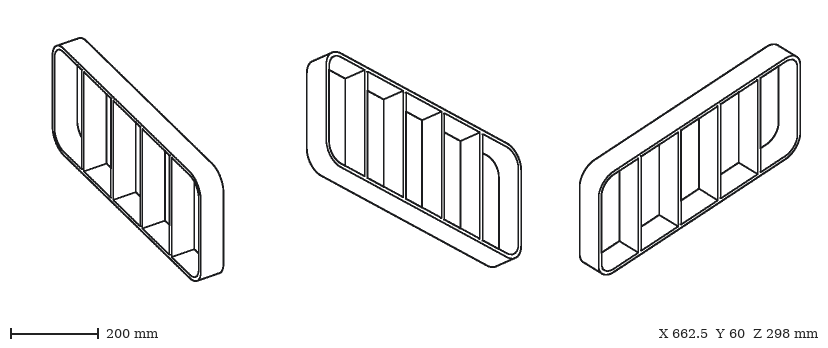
import cadquery as cq

length = 662.5
depth = 60.0
height = 298.0

wall = 10.0
corner_radius = 50.0
bay_count = 5
divider_pitch = (length - wall) / bay_count


def rounded_block(size_x, size_z, radius):
    """Block centred on the origin with its four Y-direction edges rounded."""
    return cq.Workplane("XY").box(size_x, depth, size_z).edges("|Y").fillet(radius)


inner_length = length - 2 * wall
inner_height = height - 2 * wall
opening = rounded_block(inner_length, inner_height, corner_radius - wall)
result = rounded_block(length, height, corner_radius).cut(opening)

divider_height = height - wall
for index in range(1, bay_count):
    divider_x = (index - bay_count / 2) * divider_pitch
    divider = cq.Workplane("XY").box(wall, depth, divider_height)
    result = result.union(divider.translate((divider_x, 0, 0)))